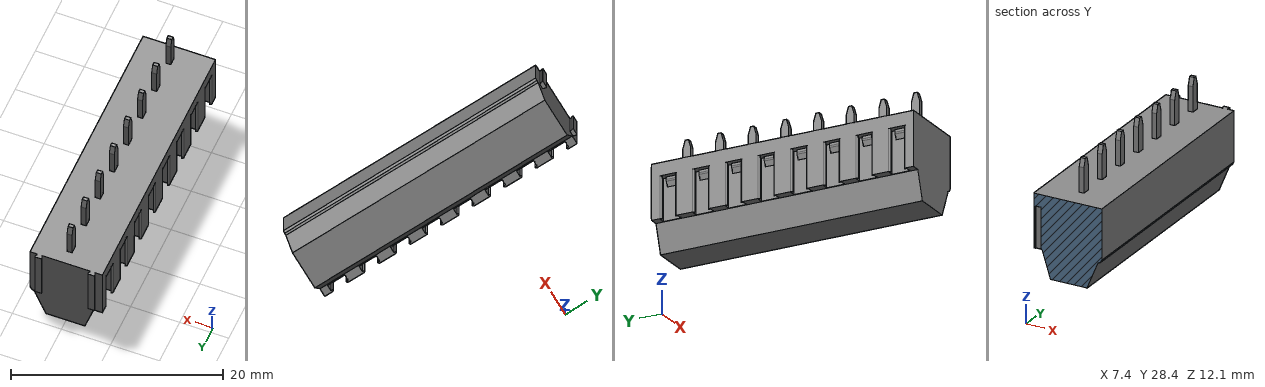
import cadquery as cq
import math

body_width = 7.4
total_length = 28.42
body_height = 8.6

rail_depth = 0.4
rail_shoulder = 0.1
rail_neck_width = 0.5
rail_widest = 0.7
rail_tip_width = 0.65
rail_height = 5.23
rail_spacing = 5.4

body_length = total_length - rail_depth
front_y = -total_length / 2
rear_y = front_y + body_length
left_x = -body_width / 2
right_x = body_width / 2
shelf_z = -5.75
left_shelf = 0.88
right_shelf = 0.43
foot_left_inset = 1.8
foot_right_inset = 1.62
edge_chamfer_width = 0.2
edge_chamfer_height = 0.35
right_shelf_rise = 0.09

pin_count = 8
pitch = 3.5
contact_ys = [front_y + (i + 0.5) * pitch for i in range(pin_count)]

pin_height = 3.5
pin_thickness = 0.5
pin_width = 0.85
pin_tip_width = 0.35
pin_taper = 0.85
pin_x = 0.23

slot_top_z = -1.35
slot_depth = 0.77
mouth_width = 1.8
lip_radius = 0.17
undercut = 0.23

nub_width = 1.02
nub_flat_height = 0.25
nub_bend_height = 0.17
nub_bend_setback = 0.03
nub_height = 0.95
nub_depth = 0.25


def make_housing():
    """Extrude the end profile, top face on Z = 0, from the front end to the rear end."""
    chamfer_end_z = shelf_z + right_shelf_rise
    profile = [
        (left_x, 0),
        (right_x, 0),
        (right_x, chamfer_end_z + edge_chamfer_height),
        (right_x - edge_chamfer_width, chamfer_end_z),
        (right_x - right_shelf, shelf_z),
        (right_x - foot_right_inset, -body_height),
        (left_x + foot_left_inset, -body_height),
        (left_x + left_shelf, shelf_z),
        (left_x, shelf_z),
    ]
    return cq.Workplane("XZ", origin=(0, front_y, 0)).polyline(profile).close().extrude(-body_length)


def make_rail(x):
    """Rail with a narrow neck, widening outward and bevelled at its tip."""
    shoulder_y = rear_y + rail_depth - rail_shoulder
    tip_y = rear_y + rail_depth
    half_profile = [
        (rail_neck_width / 2, rear_y),
        (rail_widest / 2, shoulder_y),
        (rail_tip_width / 2, tip_y),
    ]
    right_side = [(x + half, y) for half, y in half_profile]
    left_side = [(x - half, y) for half, y in reversed(half_profile)]
    return cq.Workplane("XY").polyline(right_side + left_side).close().extrude(-rail_height)


def make_slot(y):
    """Slot cutter that opens through the left side and down through the shelf."""
    floor_x = left_x + slot_depth
    lip_end_x = left_x + lip_radius
    half_mouth = mouth_width / 2
    half_throat = half_mouth - lip_radius
    half_inner = half_throat + undercut
    arc_offset = lip_radius * math.sqrt(0.5)
    lip_mid_x = lip_end_x - arc_offset
    half_lip_mid = half_mouth - arc_offset
    outline = (
        cq.Workplane("XY", origin=(0, y, slot_top_z))
        .moveTo(left_x, -half_mouth)
        .lineTo(left_x, half_mouth)
        .threePointArc((lip_mid_x, half_lip_mid), (lip_end_x, half_throat))
        .lineTo(lip_end_x, half_inner)
        .lineTo(floor_x, half_inner)
        .lineTo(floor_x, -half_inner)
        .lineTo(lip_end_x, -half_inner)
        .lineTo(lip_end_x, -half_throat)
        .threePointArc((lip_mid_x, -half_lip_mid), (left_x, -half_mouth))
        .close()
    )
    return outline.extrude(shelf_z - slot_top_z)


def make_nub(y):
    """Nub under the slot ceiling that slopes back to the slot floor."""
    floor_x = left_x + slot_depth
    face_x = floor_x - nub_depth
    flat_end_z = slot_top_z - nub_flat_height
    profile = [
        (floor_x, slot_top_z),
        (face_x, slot_top_z),
        (face_x, flat_end_z),
        (face_x + nub_bend_setback, flat_end_z - nub_bend_height),
        (floor_x, slot_top_z - nub_height),
    ]
    outline = cq.Workplane("XZ", origin=(0, y, 0)).polyline(profile).close()
    return outline.extrude(nub_width / 2, both=True)


def make_pin(y):
    """Flat pin standing on the housing, tapered across its width at the tip."""
    profile = [
        (y - pin_width / 2, 0),
        (y + pin_width / 2, 0),
        (y + pin_width / 2, pin_height - pin_taper),
        (y + pin_tip_width / 2, pin_height),
        (y - pin_tip_width / 2, pin_height),
        (y - pin_width / 2, pin_height - pin_taper),
    ]
    outline = cq.Workplane("YZ", origin=(pin_x, 0, 0)).polyline(profile).close()
    return outline.extrude(pin_thickness / 2, both=True)


result = make_housing()

for side in (-1, 1):
    result = result.union(make_rail(side * rail_spacing / 2))

for contact_y in contact_ys:
    result = result.cut(make_slot(contact_y))
    result = result.union(make_nub(contact_y))
    result = result.union(make_pin(contact_y))